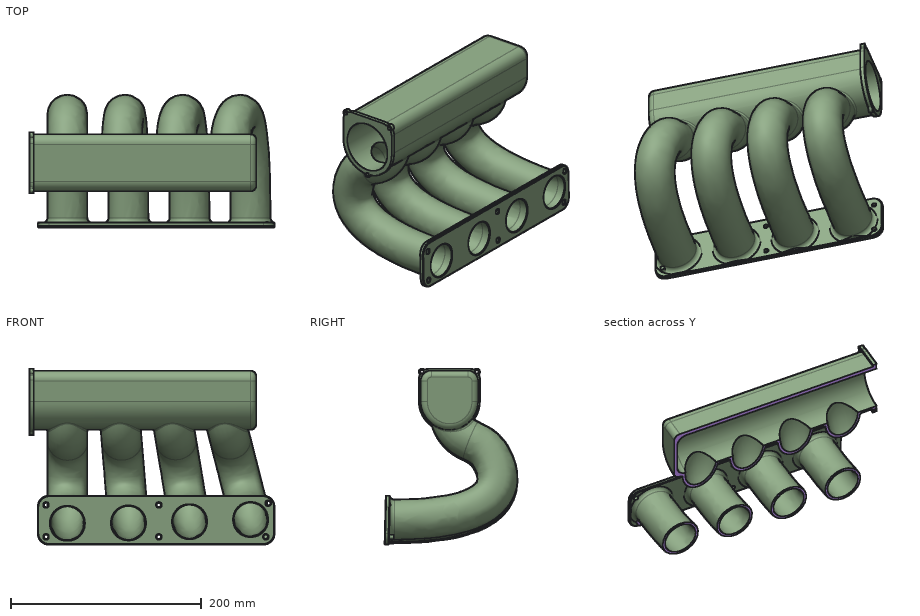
import cadquery as cq
import math

plenum_y = 68.0
plenum_axis_z = 150.3
plenum_top_z = 182.5
plenum_radius = 30.0
plenum_corner_radius = 10.8
plenum_end_x = 238.0
end_fillet = 6.7
bore_radius = 26.7
bore_end_x = 233.8
bore_end_fillet = 10.3

flange_thickness = 4.4
flange_half_width = 32.0
flange_top_z = 184.5
flange_corner_radius = 11.5
ear_radius = 3.3
ear_hole_radius = 1.8
ear_neck_fillet = 1.3

plate_left_x = 8.7
plate_right_x = 257.0
plate_height = 51.5
plate_thickness = 4.5
plate_corner_radius = 11.8
plate_tilt = 1.4
edge_chamfer = 0.8
bolt_hole_radius = 2.3
bolt_low_z = 8.2
bolt_high_z = 41.5
bolt_left_x = 17.5
bolt_middle_x = 135.6
bolt_right_x = 247.6
raised_bolt = (250.2, 43.5)

first_runner_x = 39.8
runner_count = 4
plenum_pitch = 53.5
port_pitch = 64.0
port_z = 22.3
runner_radius = 21.0
runner_bore_radius = 17.7
flare_radius = 5.1
flare_setback = 1.0
apex_y = 115.0
apex_z = 83.2
elbow_radius = 36.0
elbow_end_z = 141.3
elbow_start_angle = 22.5
root_fillet = 1.8
stub_start_y = 2.5
stub_end_y = 10.3

port_drop = plenum_axis_z - port_z


def runner_x(i):
    return first_runner_x + i * plenum_pitch


def runner_lean(i):
    """Angle in radians that carries runner i from the plenum pitch to the port pitch."""
    return math.asin(i * (port_pitch - plenum_pitch) / port_drop)


def port_centre(i):
    return (first_runner_x + i * port_pitch, plenum_axis_z - port_drop * math.cos(runner_lean(i)))


def tilted(plate_shape):
    """Lean a shape modelled on an upright plate; the top moves toward +Y."""
    return plate_shape.rotate((0, 0, 0), (1, 0, 0), -plate_tilt)


def on_plate(x, z):
    """Sketch plane on the upright front of the plate, centred on a hole."""
    return cq.Workplane("XZ", origin=(x, 0, z))


def chamber_outline(start_x, half_width, top_z, corner_radius):
    """Flat-topped, half-round outline across the plenum."""
    corner_rise = corner_radius * math.sqrt(0.5)
    shoulder = half_width - corner_radius
    corner_z = top_z - corner_radius
    return (
        cq.Workplane("YZ", origin=(start_x, plenum_y, 0))
        .moveTo(-half_width, plenum_axis_z)
        .lineTo(-half_width, corner_z)
        .threePointArc((-shoulder - corner_rise, corner_z + corner_rise), (-shoulder, top_z))
        .lineTo(shoulder, top_z)
        .threePointArc((shoulder + corner_rise, corner_z + corner_rise), (half_width, corner_z))
        .lineTo(half_width, plenum_axis_z)
        .threePointArc((0, plenum_axis_z - half_width), (-half_width, plenum_axis_z))
        .close()
    )


def make_plenum():
    body = chamber_outline(0, plenum_radius, plenum_top_z, plenum_corner_radius).extrude(plenum_end_x)
    return body.faces(">X").edges().fillet(end_fillet)


def make_plenum_bore():
    bore = (
        cq.Workplane("YZ", origin=(0, plenum_y, plenum_axis_z))
        .circle(bore_radius)
        .extrude(bore_end_x)
    )
    return bore.faces(">X").edges().fillet(bore_end_fillet)


def make_flange():
    """Flange with three ears, and the cuts for the ear holes."""
    corner_offset = flange_corner_radius * (1 - math.sqrt(0.5))
    ear_y = flange_half_width - corner_offset
    ear_z = flange_top_z - corner_offset
    ears = [(-ear_y, ear_z), (ear_y, ear_z), (0, plenum_axis_z - flange_half_width)]
    base = cq.Workplane("YZ", origin=(0, plenum_y, 0))
    flange = chamber_outline(0, flange_half_width, flange_top_z, flange_corner_radius)
    flange = flange.extrude(flange_thickness)
    flange = flange.union(base.pushPoints(ears).circle(ear_radius).extrude(flange_thickness))
    reach = 2 * ear_radius
    for y, z in ears:
        around_ear = cq.selectors.BoxSelector(
            (0, plenum_y + y - reach, z - reach),
            (flange_thickness, plenum_y + y + reach, z + reach),
        )
        flange = flange.edges("|X").edges(around_ear).fillet(ear_neck_fillet)
    holes = base.pushPoints(ears).circle(ear_hole_radius).extrude(flange_thickness)
    return flange, holes


def plate_blank(start_y, end_y, setback):
    """Upright plate with rounded corners, its outline drawn in by the setback."""
    width = plate_right_x - plate_left_x - 2 * setback
    height = plate_height - 2 * setback
    return (
        cq.Workplane("XY", origin=(plate_left_x + setback, start_y, setback))
        .box(width, end_y - start_y, height, centered=False)
        .edges("|Y")
        .fillet(plate_corner_radius - setback)
    )


def make_flared_stub(i):
    """Straight start of runner i, widened by a concave fillet where it meets the plate."""
    x, z = port_centre(i)
    rim = runner_radius + flare_radius
    flare_start_y = stub_end_y - flare_radius
    sag = flare_radius * math.sqrt(0.5)
    stub = (
        cq.Workplane("XY", origin=(x, 0, z))
        .moveTo(0, stub_start_y)
        .lineTo(rim, stub_start_y)
        .lineTo(rim, flare_start_y)
        .threePointArc((rim - sag, stub_end_y - sag), (runner_radius, stub_end_y))
        .lineTo(0, stub_end_y)
        .close()
        .revolve(360, (0, 0, 0), (0, 1, 0))
    )
    return stub.intersect(plate_blank(0, stub_end_y, flare_setback))


def make_plate():
    plate = plate_blank(0, plate_thickness, 0)
    return tilted(plate.faces("<Y or >Y").edges().chamfer(edge_chamfer))


def chamfer_cut(x, z, radius):
    """Cone that chamfers the front mouth of a hole in the plate."""
    return (
        on_plate(x, z)
        .circle(radius + edge_chamfer)
        .workplane(offset=-edge_chamfer)
        .circle(radius)
        .loft()
    )


def bolt_cut(x, z):
    depth = plate_thickness + flare_radius
    return on_plate(x, z).circle(bolt_hole_radius).extrude(-depth).union(chamfer_cut(x, z, bolt_hole_radius))


def make_plate_cuts():
    bolts = [(x, z) for x in (bolt_left_x, bolt_middle_x) for z in (bolt_low_z, bolt_high_z)]
    bolts += [(bolt_right_x, bolt_low_z), raised_bolt]
    cuts = [bolt_cut(x, z) for x, z in bolts]
    for i in range(runner_count):
        x, z = port_centre(i)
        cuts.append(chamfer_cut(x, z, runner_bore_radius))
    return [tilted(cut) for cut in cuts]


def runner_tube(radius, i):
    """Solid round tube along runner i, from the end of its stub into the plenum."""
    start = math.radians(elbow_start_angle)
    middle = (start + math.pi / 2) / 2
    elbow_y = plenum_y + elbow_radius

    def elbow_point(angle):
        return (elbow_y - elbow_radius * math.sin(angle), elbow_end_z - elbow_radius * math.cos(angle))

    joint = elbow_point(start)
    bend_path = cq.Workplane("YZ").spline(
        [(stub_end_y, port_z), (apex_y, apex_z), joint],
        tangents=[(1, 0), (-math.cos(start), math.sin(start))],
    )
    bend = cq.Workplane("XZ", origin=(0, stub_end_y, port_z)).circle(radius).sweep(bend_path)
    elbow_path = (
        cq.Workplane("YZ")
        .moveTo(plenum_y, elbow_end_z)
        .threePointArc(elbow_point(middle), joint)
    )
    elbow = cq.Workplane("XY", origin=(0, plenum_y, elbow_end_z)).circle(radius).sweep(elbow_path)
    tube = bend.union(elbow)
    lean = -math.degrees(runner_lean(i))
    tube = tube.rotate((0, 0, plenum_axis_z), (0, 1, plenum_axis_z), lean)
    return tube.translate((runner_x(i), 0, 0))


def runner_bore(i):
    """Bore of runner i, from in front of the plate into the plenum."""
    x, z = port_centre(i)
    port = cq.Workplane("XZ", origin=(x, stub_end_y, z)).circle(runner_bore_radius).extrude(2 * stub_end_y)
    return port.union(runner_tube(runner_bore_radius, i))


root_region = cq.selectors.BoxSelector(
    (0, plenum_y - plenum_radius, plenum_axis_z - plenum_radius),
    (plenum_end_x, plenum_y + plenum_radius, plenum_axis_z),
)

flange, flange_holes = make_flange()
body = make_plenum().union(flange)
for i in range(runner_count):
    body = body.union(runner_tube(runner_radius, i))
body = body.edges("%BSPLINE").edges(root_region).fillet(root_fillet)
for i in range(runner_count):
    body = body.union(make_flared_stub(i))
body = body.union(make_plate())
body = body.cut(make_plenum_bore()).cut(flange_holes)
for i in range(runner_count):
    body = body.cut(runner_bore(i))
for cut in make_plate_cuts():
    body = body.cut(cut)
result = body